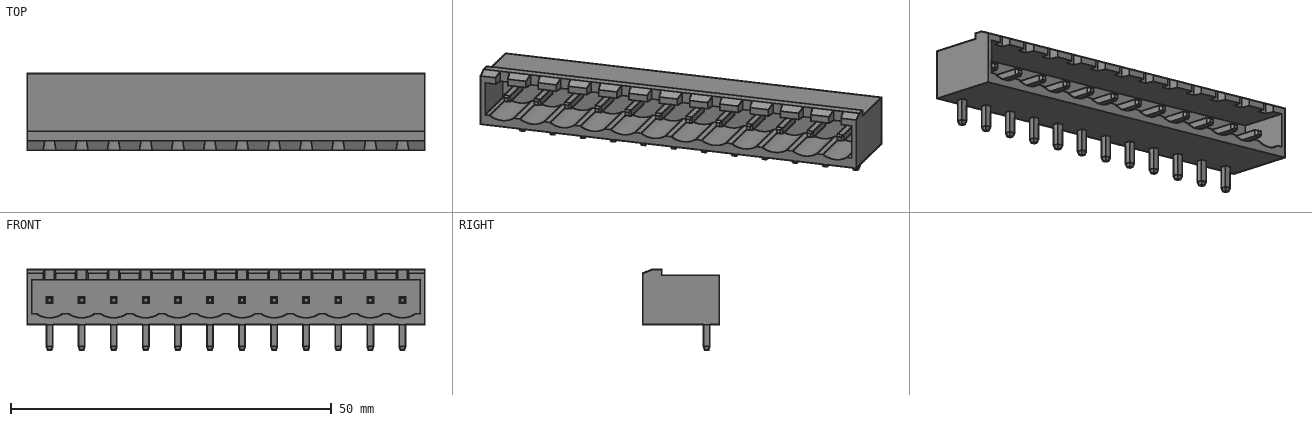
import cadquery as cq

pole_count = 12
pitch = 5.0
end_margin = 3.5
length = (pole_count - 1) * pitch + 2 * end_margin
pole_positions = [(i - (pole_count - 1) / 2) * pitch for i in range(pole_count)]

depth = 12.0
body_height = 7.7
lip_height = 8.6
lip_depth = 3.0
lip_bevel_depth = 1.5
lip_bevel_drop = 0.6

wall = 0.75
cavity_depth = 8.5
cavity_ceiling = 6.95
cavity_floor = 1.65
scoop_width = 4.0
scoop_drop = 0.6

notch_back_width = 1.5
notch_front_width = 2.0

pin_width = 1.0
pin_height = 3.8
pin_front = 2.0
leg_setback = 2.0
leg_length = 4.0
tip_length = 0.6
tip_width = 0.6


def make_housing():
    """Extrude the side profile, with its raised bevelled lip, along X."""
    profile = [
        (0, 0),
        (depth, 0),
        (depth, body_height),
        (lip_depth, body_height),
        (lip_depth, lip_height),
        (lip_bevel_depth, lip_height),
        (0, lip_height - lip_bevel_drop),
    ]
    return cq.Workplane("YZ").polyline(profile).close().extrude(length / 2, both=True)


def make_cavity():
    """Front opening whose floor is scooped by a shallow arc under each pin."""
    half_width = length / 2 - wall
    outline = cq.Workplane("XZ").moveTo(-half_width, cavity_ceiling).lineTo(-half_width, cavity_floor)
    for x in pole_positions:
        outline = outline.lineTo(x - scoop_width / 2, cavity_floor)
        outline = outline.threePointArc(
            (x, cavity_floor - scoop_drop),
            (x + scoop_width / 2, cavity_floor),
        )
    outline = outline.lineTo(half_width, cavity_floor).lineTo(half_width, cavity_ceiling)
    return outline.close().extrude(-cavity_depth)


def make_notch(x):
    """Drafted notch that opens the lip down into the cavity at one pole."""
    plan = [
        (x - notch_front_width / 2, 0),
        (x + notch_front_width / 2, 0),
        (x + notch_back_width / 2, lip_bevel_depth),
        (x - notch_back_width / 2, lip_bevel_depth),
    ]
    notch = cq.Workplane("XY").workplane(offset=cavity_ceiling).polyline(plan).close()
    return notch.extrude(lip_height - cavity_ceiling)


def make_bar(plane, bar_length):
    """Square bar along the plane normal, ending in a tapered tip."""
    shank_length = bar_length - tip_length
    shank = cq.Workplane(plane).rect(pin_width, pin_width).extrude(shank_length)
    tip = (
        cq.Workplane(plane)
        .workplane(offset=shank_length)
        .rect(pin_width, pin_width)
        .workplane(offset=tip_length)
        .rect(tip_width, tip_width)
        .loft()
    )
    return shank.union(tip)


def make_pin(x):
    """Contact pointing to the front, joined to a solder leg pointing down."""
    leg_y = depth - leg_setback
    bend = cq.Vector(x, leg_y, pin_height)
    contact_plane = cq.Plane(origin=bend, xDir=(1, 0, 0), normal=(0, -1, 0))
    leg_plane = cq.Plane(origin=bend, xDir=(1, 0, 0), normal=(0, 0, -1))
    contact = make_bar(contact_plane, leg_y - pin_front)
    leg = make_bar(leg_plane, pin_height + leg_length)
    return contact.union(leg)


result = make_housing().cut(make_cavity())
for pole_x in pole_positions:
    result = result.cut(make_notch(pole_x))
for pole_x in pole_positions:
    result = result.union(make_pin(pole_x))